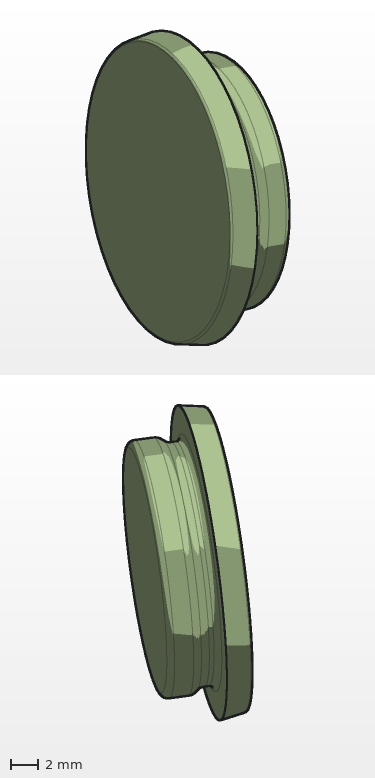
import cadquery as cq
import math

flange_radius = 11.65
flange_thickness = 2.0
flange_taper = 10.0
front_edge_fillet = 0.19

overall_depth = 6.0
head_radius = 9.55
neck_radius = 9.05
corner_radius = 0.5
neck_length = 0.35
shoulder_length = 1.25


def make_flange():
    """Tapered disc with its front face at Y = 0 and a rounded front edge."""
    front_radius = flange_radius - flange_thickness * math.tan(math.radians(flange_taper))
    disc = (
        cq.Workplane("XY")
        .lineTo(front_radius, 0)
        .lineTo(flange_radius, flange_thickness)
        .lineTo(0, flange_thickness)
        .close()
        .revolve(360, (0, 0, 0), (0, 1, 0))
    )
    return disc.faces("<Y").edges().fillet(front_edge_fillet)


def make_plug():
    """Neck and head, turned about the Y axis behind the flange."""
    neck_start = flange_thickness + corner_radius
    neck_end = neck_start + neck_length
    shoulder_middle = neck_end + shoulder_length / 2
    shoulder_end = neck_end + shoulder_length
    middle_radius = (neck_radius + head_radius) / 2
    head_end = overall_depth - corner_radius
    diagonal_inset = corner_radius * (1 - math.sqrt(0.5))

    return (
        cq.Workplane("XY")
        .moveTo(0, flange_thickness)
        .lineTo(neck_radius + corner_radius, flange_thickness)
        .threePointArc(
            (neck_radius + diagonal_inset, flange_thickness + diagonal_inset),
            (neck_radius, neck_start),
        )
        .lineTo(neck_radius, neck_end)
        .tangentArcPoint((middle_radius, shoulder_middle), relative=False)
        .tangentArcPoint((head_radius, shoulder_end), relative=False)
        .lineTo(head_radius, head_end)
        .threePointArc(
            (head_radius - diagonal_inset, overall_depth - diagonal_inset),
            (head_radius - corner_radius, overall_depth),
        )
        .lineTo(0, overall_depth)
        .close()
        .revolve(360, (0, 0, 0), (0, 1, 0))
    )


result = make_flange().union(make_plug())